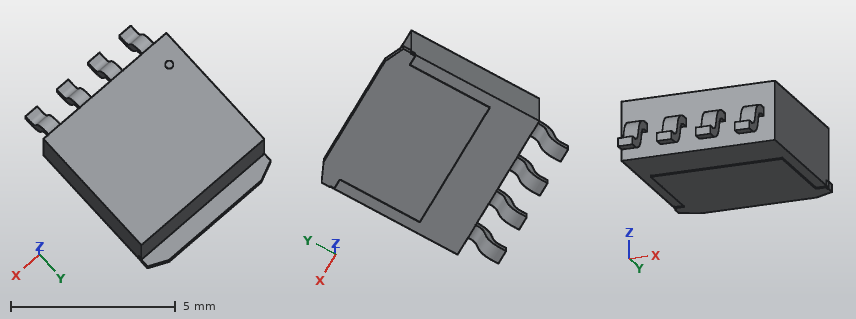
import math

import cadquery as cq

WIDTH = 5.0
OVERALL_LENGTH = 6.25
OVERALL_HEIGHT = 1.96
STANDOFF = 0.045
FRONT_Y = -OVERALL_LENGTH / 2
BACK_Y = OVERALL_LENGTH / 2
LEAD_REACH = 1.22
TAB_REACH = 0.56
HOUSING_FRONT_Y = FRONT_Y + LEAD_REACH
HOUSING_BACK_Y = BACK_Y - TAB_REACH

LEAD_COUNT = 4
LEAD_PITCH = 1.27
LEAD_WIDTH = 0.475
LEAD_THICKNESS = 0.26
LEAD_RISE = 0.825
FOOT_LENGTH = 0.22
BEND_ANGLE = math.radians(75)
INNER_RADIUS = 0.24
OUTER_RADIUS = INNER_RADIUS + LEAD_THICKNESS
FIRST_LEAD_X = -LEAD_PITCH * (LEAD_COUNT - 1) / 2

TAB_THICKNESS = 0.245
TAB_FRONT_Y = FRONT_Y + 2.745
TAB_SHOULDER_Y = BACK_Y - 0.71
TAB_SHOULDER_INSET = 0.025
TAB_INNER_WIDTH = LEAD_PITCH * (LEAD_COUNT - 1) + LEAD_WIDTH
TAB_CORNER_X = 0.625
TAB_CORNER_Y = 0.28

MARKER_DIAMETER = 0.25
MARKER_DEPTH = 0.03
MARKER_Y = HOUSING_FRONT_Y + 0.8


def make_tab():
    """Plate stepped narrower towards the front, with its two rear corners cut off."""
    half_width = WIDTH / 2
    half_shoulder = half_width - TAB_SHOULDER_INSET
    half_inner = TAB_INNER_WIDTH / 2
    return (
        cq.Workplane("XY")
        .moveTo(-half_inner, TAB_FRONT_Y)
        .lineTo(half_inner, TAB_FRONT_Y)
        .lineTo(half_inner, TAB_SHOULDER_Y)
        .lineTo(half_shoulder, TAB_SHOULDER_Y)
        .lineTo(half_shoulder, HOUSING_BACK_Y)
        .lineTo(half_width, HOUSING_BACK_Y)
        .lineTo(half_width, BACK_Y - TAB_CORNER_Y)
        .lineTo(half_width - TAB_CORNER_X, BACK_Y)
        .lineTo(-half_width + TAB_CORNER_X, BACK_Y)
        .lineTo(-half_width, BACK_Y - TAB_CORNER_Y)
        .lineTo(-half_width, HOUSING_BACK_Y)
        .lineTo(-half_shoulder, HOUSING_BACK_Y)
        .lineTo(-half_shoulder, TAB_SHOULDER_Y)
        .lineTo(-half_inner, TAB_SHOULDER_Y)
        .close()
        .extrude(TAB_THICKNESS)
    )


def make_marker():
    """Flat disc let into the top face."""
    return (
        cq.Workplane("XY", origin=(FIRST_LEAD_X, MARKER_Y, OVERALL_HEIGHT - MARKER_DEPTH))
        .circle(MARKER_DIAMETER / 2)
        .extrude(MARKER_DEPTH)
    )


def make_housing(tab, marker):
    """Block with matching recesses for the tab and the marker."""
    block = (
        cq.Workplane("XY")
        .box(
            WIDTH,
            HOUSING_BACK_Y - HOUSING_FRONT_Y,
            OVERALL_HEIGHT - STANDOFF,
            centered=(True, False, False),
        )
        .translate((0, HOUSING_FRONT_Y, STANDOFF))
    )
    return block.cut(tab).cut(marker)


def make_lead(center_x):
    """Gull-wing lead whose shoulder ends on the front face of the housing."""
    foot_bottom = STANDOFF
    foot_top = foot_bottom + LEAD_THICKNESS
    shoulder_bottom = foot_bottom + LEAD_RISE
    shoulder_top = shoulder_bottom + LEAD_THICKNESS

    bend_run = (INNER_RADIUS + OUTER_RADIUS) * math.sin(BEND_ANGLE)
    bend_rise = (INNER_RADIUS + OUTER_RADIUS) * (1 - math.cos(BEND_ANGLE))
    slope_run = (LEAD_RISE - bend_rise) / math.tan(BEND_ANGLE)
    lower_bend_y = FRONT_Y + FOOT_LENGTH
    upper_bend_y = lower_bend_y + bend_run + slope_run
    lower_center_z = foot_top + INNER_RADIUS
    upper_center_z = shoulder_bottom - INNER_RADIUS

    def lower_point(radius, angle):
        return (lower_bend_y + radius * math.sin(angle), lower_center_z - radius * math.cos(angle))

    def upper_point(radius, angle):
        return (upper_bend_y - radius * math.sin(angle), upper_center_z + radius * math.cos(angle))

    half_angle = BEND_ANGLE / 2
    return (
        cq.Workplane("YZ", origin=(center_x - LEAD_WIDTH / 2, 0, 0))
        .moveTo(FRONT_Y, foot_bottom)
        .lineTo(lower_bend_y, foot_bottom)
        .threePointArc(lower_point(OUTER_RADIUS, half_angle), lower_point(OUTER_RADIUS, BEND_ANGLE))
        .lineTo(*upper_point(INNER_RADIUS, BEND_ANGLE))
        .threePointArc(upper_point(INNER_RADIUS, half_angle), (upper_bend_y, shoulder_bottom))
        .lineTo(HOUSING_FRONT_Y, shoulder_bottom)
        .lineTo(HOUSING_FRONT_Y, shoulder_top)
        .lineTo(upper_bend_y, shoulder_top)
        .threePointArc(upper_point(OUTER_RADIUS, half_angle), upper_point(OUTER_RADIUS, BEND_ANGLE))
        .lineTo(*lower_point(INNER_RADIUS, BEND_ANGLE))
        .threePointArc(lower_point(INNER_RADIUS, half_angle), (lower_bend_y, foot_top))
        .lineTo(FRONT_Y, foot_top)
        .close()
        .extrude(LEAD_WIDTH)
    )


tab = make_tab()
marker = make_marker()
housing = make_housing(tab, marker)
leads = [make_lead(FIRST_LEAD_X + i * LEAD_PITCH) for i in range(LEAD_COUNT)]

result = cq.Compound.makeCompound(
    [housing.val(), tab.val(), marker.val(), *[lead.val() for lead in leads]]
)